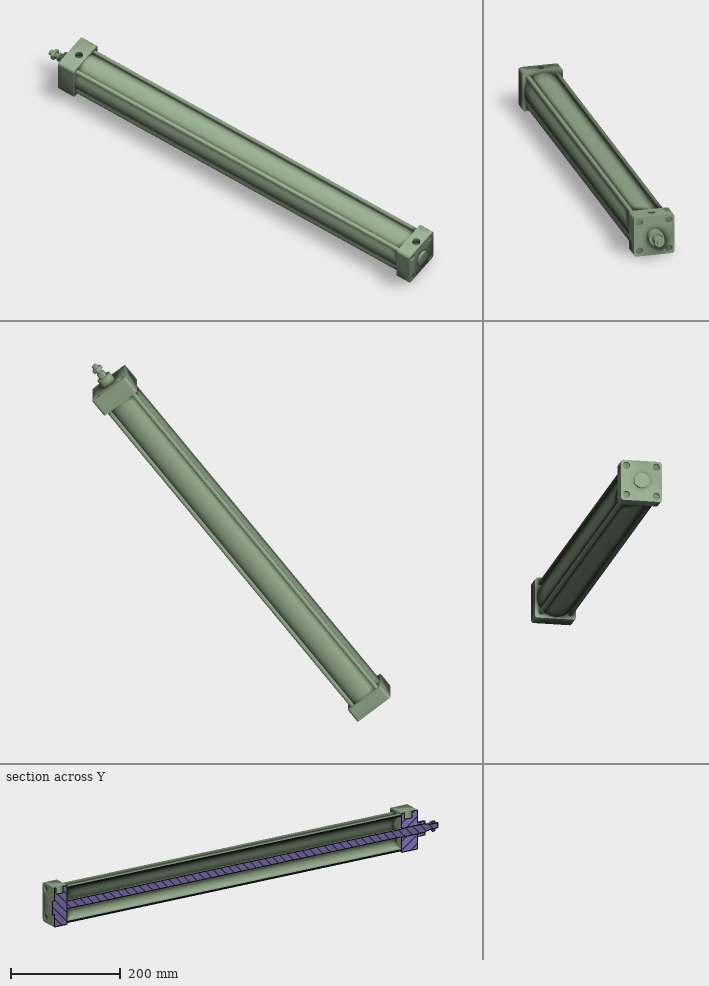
import cadquery as cq
import math


overall_length = 829.0
front_head_start = 44.0
front_head_length = 35.0
rear_head_length = 28.0
front_collar_length = 16.0
rear_collar_length = 4.0
front_head_end = front_head_start + front_head_length
rear_head_end = overall_length - rear_collar_length
rear_head_start = rear_head_end - rear_head_length

head_width = 76.0
head_corner_radius = 5.0
collar_diameter = 28.0
port_diameter = 15.0
port_mouth_diameter = 16.0
port_depth = 12.5
front_port_x = 64.0
rear_port_x = 813.0

barrel_outer_diameter = 70.0
barrel_inner_diameter = 64.0

tie_rod_diameter = 7.95
tie_rod_spacing = 55.5
counterbore_diameter = 13.0
counterbore_depth = 5.0

rod_diameter = 16.0
thread_diameter = 11.0
thread_length = 19.0
thread_chamfer = 0.4
flat_width = 14.0
flat_end = 26.5

nut_across_flats = 18.0
nut_start = 7.0
nut_length = 7.0
nut_face_diameter = 17.0


def cylinder(diameter, start, end, y=0, z=0):
    """Cylinder along X between two X positions."""
    return cq.Workplane("YZ", origin=(start, y, z)).circle(diameter / 2).extrude(end - start)


def tie_rod_centres():
    """Y and Z of the four tie rods."""
    half = tie_rod_spacing / 2
    return [(y, z) for y in (-half, half) for z in (-half, half)]


def head_block(start, length, port_x):
    """Square head with rounded long edges, a port on top and four tie rod holes."""
    block = (
        cq.Workplane("YZ", origin=(start, 0, 0))
        .rect(head_width, head_width)
        .extrude(length)
        .edges("|X")
        .fillet(head_corner_radius)
    )
    for y, z in tie_rod_centres():
        block = block.cut(cylinder(tie_rod_diameter, start, start + length, y, z))
    port = (
        cq.Workplane("XY", origin=(port_x, 0, head_width / 2 - port_depth))
        .circle(port_diameter / 2)
        .extrude(port_depth)
    )
    mouth_chamfer = (port_mouth_diameter - port_diameter) / 2
    return block.cut(port).faces(">Z").edges("%CIRCLE").chamfer(mouth_chamfer)


def cut_counterbores(head, start):
    """Sink the outer ends of the tie rod holes, from one X position inwards."""
    for y, z in tie_rod_centres():
        head = head.cut(cylinder(counterbore_diameter, start, start + counterbore_depth, y, z))
    return head


def make_front_head():
    head = head_block(front_head_start, front_head_length, front_port_x)
    head = cut_counterbores(head, front_head_start)
    head = head.union(cylinder(collar_diameter, front_head_start - front_collar_length, front_head_start))
    return head.cut(cylinder(rod_diameter, 0, front_head_end))


def make_rear_head():
    head = head_block(rear_head_start, rear_head_length, rear_port_x)
    head = cut_counterbores(head, rear_head_end - counterbore_depth)
    return head.union(cylinder(collar_diameter, rear_head_end, overall_length))


def make_barrel():
    bore = cylinder(barrel_inner_diameter, front_head_end, rear_head_start)
    return cylinder(barrel_outer_diameter, front_head_end, rear_head_start).cut(bore)


def make_tie_rod(y, z):
    """Tie rod between the floors of the counterbores in the two heads."""
    start = front_head_start + counterbore_depth
    end = rear_head_end - counterbore_depth
    return cylinder(tie_rod_diameter, start, end, y, z)


def make_piston_rod():
    """Rod that reaches the rear head, with a threaded nose and two wrench flats behind it."""
    rod = cylinder(rod_diameter, flat_end, rear_head_start)
    slab = (
        cq.Workplane("YZ", origin=(thread_length, 0, 0))
        .rect(rod_diameter, flat_width)
        .extrude(flat_end - thread_length)
    )
    flatted = cylinder(rod_diameter, thread_length, flat_end).intersect(slab)
    thread = cylinder(thread_diameter, 0, thread_length).faces("<X").chamfer(thread_chamfer)
    return rod.union(flatted).union(thread)


def make_nut():
    """Hexagon nut with corners up and down, chamfered on its outer face."""
    corner_radius = nut_across_flats / math.sqrt(3)
    face_radius = nut_face_diameter / 2
    chamfer = corner_radius - face_radius
    nut_end = nut_start + nut_length
    hexagon = (
        cq.Workplane("YZ", origin=(nut_start, 0, 0))
        .transformed(rotate=(0, 0, 90))
        .polygon(6, 2 * corner_radius)
        .extrude(nut_length)
    )
    envelope = (
        cq.Workplane("XY")
        .moveTo(nut_start, 0)
        .lineTo(nut_start, face_radius)
        .lineTo(nut_start + chamfer, corner_radius)
        .lineTo(nut_end, corner_radius)
        .lineTo(nut_end, 0)
        .close()
        .revolve(360, (0, 0, 0), (1, 0, 0))
    )
    return hexagon.intersect(envelope).cut(cylinder(thread_diameter, nut_start, nut_end))


front_head = make_front_head()
rear_head = make_rear_head()
barrel = make_barrel()
tie_rods = [make_tie_rod(y, z) for y, z in tie_rod_centres()]
piston_rod = make_piston_rod()
nut = make_nut()

result = cq.Compound.makeCompound(
    [
        front_head.val(),
        rear_head.val(),
        barrel.val(),
        *[tie_rod.val() for tie_rod in tie_rods],
        piston_rod.val(),
        nut.val(),
    ]
)